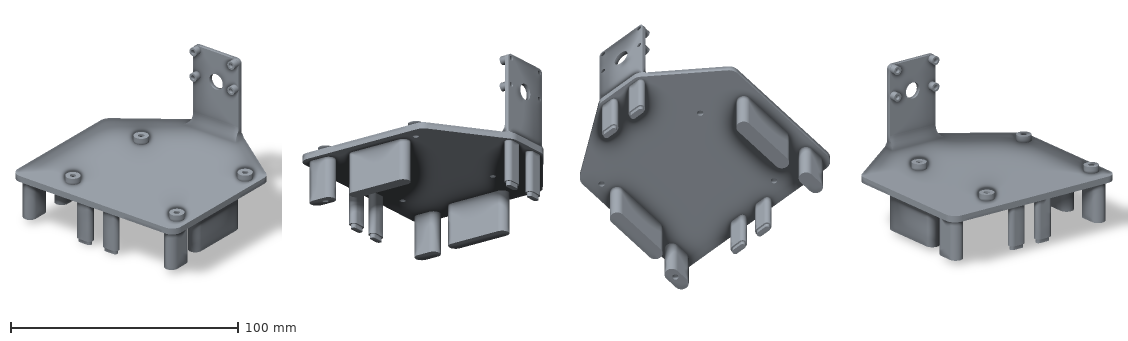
import cadquery as cq

plate_width = 91.0
plate_depth = 92.6
plate_thickness = 3.0
plate_corner_radius = 5.0
rear_edge_width = 21.7
slope_depth = 25.5

standoff_diameter = 6.8
standoff_hole_diameter = 2.8
standoff_height = 3.0
standoff_left_x = -18.9
standoff_front_y = 10.3
standoff_spacing_x = 57.9
standoff_spacing_y = 49.0

bracket_width = 25.4
bracket_thickness = 1.9
bracket_height = 38.0
bracket_corner_radius = 2.0
bracket_rear_gap = 2.0
front_fillet_radius = 4.9
edge_fillet_radius = 2.0
window_diameter = 7.5

boss_diameter = 4.0
boss_hole_diameter = 2.2
boss_length = 3.0
boss_spacing_x = 21.1
boss_spacing_z = 12.5
boss_top_offset = 2.0

leg_height = 19.2
leg_width = 6.5
front_leg_x = 39.4
front_leg_y_range = (2.7, 15.5)
side_leg_x = 37.2
side_leg_y_range = (22.6, 54.3)

post_width = 4.0
post_centre_distance = 4.35
tip_width = 2.6
tip_height = 1.9
front_post_x = 7.2
front_post_y = 4.2
rear_post_x = 7.9
rear_post_y = 88.9

bracket_rear_y = plate_depth - bracket_rear_gap
bracket_front_y = bracket_rear_y - bracket_thickness
bracket_top_z = plate_thickness + bracket_height
upper_boss_z = bracket_top_z - boss_top_offset
lower_boss_z = upper_boss_z - boss_spacing_z


def plate_prism(height):
    """Plate outline with rounded corners, extruded up from Z = 0."""
    half_width = plate_width / 2
    half_rear = rear_edge_width / 2
    slope_start_y = plate_depth - slope_depth
    corners = [
        (-half_width, 0),
        (half_width, 0),
        (half_width, slope_start_y),
        (half_rear, plate_depth),
        (-half_rear, plate_depth),
        (-half_width, slope_start_y),
    ]
    prism = cq.Workplane("XY").polyline(corners).close().extrude(height)
    return prism.edges("|Z").fillet(plate_corner_radius)


def flared_profile(workplane, low_side, high_side, low_radius, high_radius):
    """Upright strip outline whose foot flares out to both sides in concave arcs."""
    foot = plate_thickness
    return (
        workplane.moveTo(low_side - low_radius, foot)
        .radiusArc((low_side, foot + low_radius), -low_radius)
        .lineTo(low_side, bracket_top_z)
        .lineTo(high_side, bracket_top_z)
        .lineTo(high_side, foot + high_radius)
        .radiusArc((high_side + high_radius, foot), -high_radius)
        .lineTo(high_side + high_radius, 0)
        .lineTo(low_side - low_radius, 0)
        .close()
    )


def bracket():
    """Upright panel with a filleted foot kept inside the plate outline."""
    half_width = bracket_width / 2
    side_profile = flared_profile(
        cq.Workplane("YZ"), bracket_front_y, bracket_rear_y, front_fillet_radius, edge_fillet_radius
    )
    front_profile = flared_profile(
        cq.Workplane("XZ"), -half_width, half_width, edge_fillet_radius, edge_fillet_radius
    )
    across = side_profile.extrude(plate_width / 2, both=True)
    along = front_profile.extrude(-plate_depth)
    along = along.edges("|Y and >Z").fillet(bracket_corner_radius)
    return across.intersect(along).intersect(plate_prism(bracket_top_z))


def cylinders_along_y(points, diameter, start_y, end_y):
    """Cylinders at (x, z) points from start_y back to end_y."""
    plane = cq.Workplane("XZ", origin=(0, start_y, 0))
    return plane.pushPoints(points).circle(diameter / 2).extrude(start_y - end_y)


def slot_below(x, y, centre_distance, width, depth, angle):
    """Slot-shaped column hanging from the plate's underside to the given depth."""
    outline = cq.Workplane("XY").center(x, y).slot2D(centre_distance + width, width, angle)
    return outline.extrude(-depth)


def leg(x, y_range):
    """Slot-shaped leg running along Y between the two ends of y_range."""
    front_y, rear_y = y_range
    centre_y = (front_y + rear_y) / 2
    return slot_below(x, centre_y, rear_y - front_y - leg_width, leg_width, leg_height, 90)


def post(x, y):
    """Slot-shaped post running along X with a thinner tip below it."""
    body = slot_below(x, y, post_centre_distance, post_width, leg_height, 0)
    tip = slot_below(x, y, post_centre_distance, tip_width, leg_height + tip_height, 0)
    return body.union(tip)


standoff_points = [
    (standoff_left_x + i * standoff_spacing_x, standoff_front_y + j * standoff_spacing_y)
    for i in range(2)
    for j in range(2)
]
boss_points = [(side * boss_spacing_x / 2, z) for side in (-1, 1) for z in (lower_boss_z, upper_boss_z)]

standoff_top_z = plate_thickness + standoff_height
standoffs = cq.Workplane("XY").pushPoints(standoff_points).circle(standoff_diameter / 2)
standoffs = standoffs.extrude(standoff_top_z)
boss_front_y = bracket_front_y - boss_length
bosses = cylinders_along_y(boss_points, boss_diameter, boss_front_y, bracket_front_y)
result = plate_prism(plate_thickness).union(bracket()).union(standoffs).union(bosses)

for side in (-1, 1):
    result = result.union(leg(side * front_leg_x, front_leg_y_range))
    result = result.union(leg(side * side_leg_x, side_leg_y_range))
    result = result.union(post(side * front_post_x, front_post_y))
    result = result.union(post(side * rear_post_x, rear_post_y))

standoff_holes = (
    cq.Workplane("XY", origin=(0, 0, -leg_height))
    .pushPoints(standoff_points)
    .circle(standoff_hole_diameter / 2)
    .extrude(leg_height + standoff_top_z)
)
boss_holes = cylinders_along_y(boss_points, boss_hole_diameter, boss_front_y, bracket_rear_y)
window = cylinders_along_y([(0, lower_boss_z)], window_diameter, bracket_front_y, bracket_rear_y)
result = result.cut(standoff_holes).cut(boss_holes).cut(window)